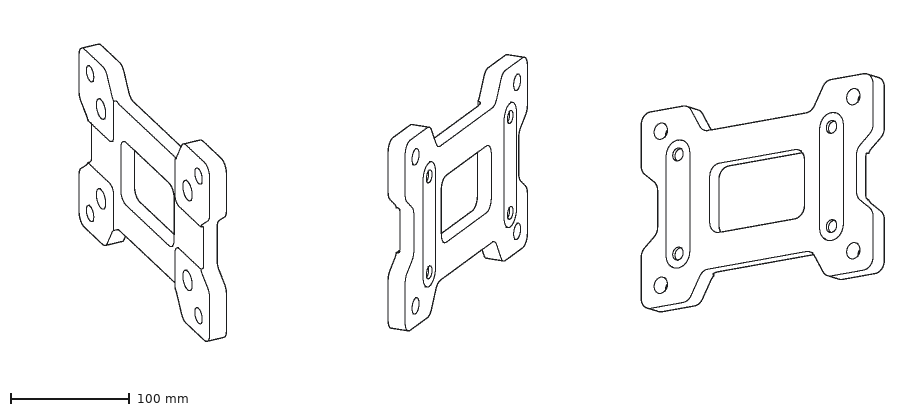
import cadquery as cq

LENGTH = 245.0
HEIGHT = 170.0
THICKNESS = 19.0
WEB_THICKNESS = 13.0
CORNER_STEP = 3.0

WEB_HALF_X = 105.0
WEB_HALF_Z = 60.0
TOP_SHOULDER_X = 72.5
TOP_ROOT_X = 57.5
SIDE_SHOULDER_Z = 34.8
SIDE_ROOT_Z = 20.8
OUTLINE_RADIUS = 10.0

WINDOW_X = 100.0
WINDOW_Z = 59.8
WINDOW_RADIUS = 10.0

CORNER_INNER_X = 57.3
CORNER_INNER_Z = 20.0
CORNER_INNER_RADIUS = 8.0
STEP_ROOT_RADIUS = 1.7

OUTER_HOLE_X = 101.7
OUTER_HOLE_Z = 66.6
OUTER_HOLE_DIAMETER = 14.0
BOLT_X = 81.0
BOLT_Z = 42.9
BOLT_DIAMETER = 11.0
COUNTERBORE_DIAMETER = 17.6
BOLT_SEAT = 3.2

RAIL_WIDTH = 25.0
RAIL_ROOT_RADIUS = 1.5

FRONT_Y = -CORNER_STEP
BACK_Y = WEB_THICKNESS
RAIL_BACK_Y = FRONT_Y + THICKNESS
SIGNS = (-1, 1)
SELECT_MARGIN = 0.2


def drawn_at(y):
    """XZ sketch plane at the given Y, extruding towards -Y."""
    return cq.Workplane("XZ", origin=(0, y, 0))


def outline_points():
    """Sharp corners of the plate outline, in order round the part."""
    quarter = [
        (WEB_HALF_X, SIDE_ROOT_Z),
        (LENGTH / 2, SIDE_SHOULDER_Z),
        (LENGTH / 2, HEIGHT / 2),
        (TOP_SHOULDER_X, HEIGHT / 2),
        (TOP_ROOT_X, WEB_HALF_Z),
    ]
    right = [(x, -z) for x, z in reversed(quarter)] + quarter
    left = [(-x, -z) for x, z in right]
    return right + left


def mirrored_points(x, z):
    """The four positions symmetric about both centre lines."""
    return [(sx * x, sz * z) for sx in SIGNS for sz in SIGNS]


def plate_blank():
    """Full-thickness plate with every outline corner rounded."""
    blank = drawn_at(BACK_Y).polyline(outline_points()).close().extrude(BACK_Y - FRONT_Y)
    return blank.edges("|Y").fillet(OUTLINE_RADIUS)


def web_recess():
    """Cross-shaped cut, running out past the plate, that leaves the corners raised."""
    upright = drawn_at(0).rect(2 * CORNER_INNER_X, 2 * HEIGHT).extrude(CORNER_STEP)
    crossbar = drawn_at(0).rect(2 * LENGTH, 2 * CORNER_INNER_Z).extrude(CORNER_STEP)
    cross = upright.union(crossbar)
    inner_corners = cq.selectors.BoxSelector(
        (-CORNER_INNER_X - SELECT_MARGIN, FRONT_Y, -CORNER_INNER_Z - SELECT_MARGIN),
        (CORNER_INNER_X + SELECT_MARGIN, 0, CORNER_INNER_Z + SELECT_MARGIN),
    )
    cross = cross.edges("|Y").edges(inner_corners).fillet(CORNER_INNER_RADIUS)
    return cross.faces(">Y").edges().fillet(STEP_ROOT_RADIUS)


def window():
    """Rounded rectangular opening through the middle of the web."""
    opening = drawn_at(BACK_Y).rect(WINDOW_X, WINDOW_Z).extrude(BACK_Y - FRONT_Y)
    return opening.edges("|Y").fillet(WINDOW_RADIUS)


def rails():
    """Round-ended strips standing on the +Y face, one behind each pair of bolts."""
    back = drawn_at(RAIL_BACK_Y).pushPoints([(sign * BOLT_X, 0) for sign in SIGNS])
    strip_height = RAIL_BACK_Y - BACK_Y
    return back.slot2D(2 * BOLT_Z + RAIL_WIDTH, RAIL_WIDTH, 90).extrude(strip_height)


def blend_rail_roots(body):
    """Round the inside corner all along the foot of each rail."""
    foot_half_x = BOLT_X + RAIL_WIDTH / 2
    foot_half_z = BOLT_Z + RAIL_WIDTH / 2
    foot = cq.selectors.BoxSelector(
        (-foot_half_x - SELECT_MARGIN, BACK_Y - SELECT_MARGIN, -foot_half_z - SELECT_MARGIN),
        (foot_half_x + SELECT_MARGIN, BACK_Y + SELECT_MARGIN, foot_half_z + SELECT_MARGIN),
        boundingbox=True,
    )
    return body.edges(foot).fillet(RAIL_ROOT_RADIUS)


def round_cuts(x, z, diameter, back_y):
    """Four round cuts from the front face back to the given Y."""
    centres = drawn_at(back_y).pushPoints(mirrored_points(x, z))
    return centres.circle(diameter / 2).extrude(back_y - FRONT_Y)


body = blend_rail_roots(plate_blank().union(rails()))
result = (
    body.cut(web_recess())
    .cut(window())
    .cut(round_cuts(OUTER_HOLE_X, OUTER_HOLE_Z, OUTER_HOLE_DIAMETER, BACK_Y))
    .cut(round_cuts(BOLT_X, BOLT_Z, BOLT_DIAMETER, RAIL_BACK_Y))
    .cut(round_cuts(BOLT_X, BOLT_Z, COUNTERBORE_DIAMETER, RAIL_BACK_Y - BOLT_SEAT))
)